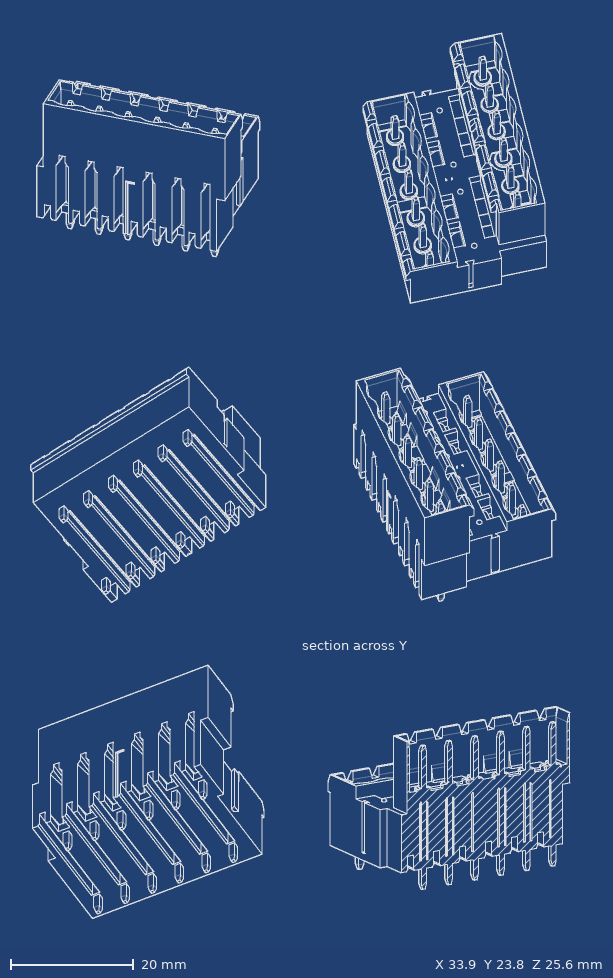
import cadquery as cq

module_count = 2
poles_per_module = 3
module_pitch = 15.02
pole_pitch = module_pitch / poles_per_module
pole_count = module_count * poles_per_module

total_length = 33.9
row_length = 31.43
row_shift = total_length - row_length
row_spacing = 15.25
shelf_z = 9.9
front_top_z = 22.1
rear_top_z = 12.07

housing_depth = 7.85
overhang_z = 10.1
body_front_left = 1.35
body_front_right = 32.5
end_wall = 0.37
cavity_back = 7.32
cavity_depth = 8.65
front_row_wall = 1.35
rear_row_wall = 1.25
end_funnel_depth = 1.5
back_funnel_depth = 1.22
funnel_inset = 0.37
rear_lip_reach = 0.68
front_lip_reach = 0.78
lip_slope = 1.45
lip_root = 0.35
lip_height = 3.05

pin_width = 1.05
pin_offset = 3.9
pin_below_board = 3.5
pin_below_rim = 1.22
pin_tip_width = 0.58
pin_tip_length = 0.9
rear_first_pin = 3.2
front_first_pin = 5.75
rear_row_y = row_spacing + pin_offset

floor_step = 0.35
collar_radius = 1.42
collar_chamfer = 0.17
collar_height = 0.27

rear_pin_xs = [rear_first_pin + i * pole_pitch for i in range(pole_count)]
front_pin_xs = [front_first_pin + i * pole_pitch for i in range(pole_count)]
module_xs = [i * module_pitch for i in range(module_count)]


def block(x0, x1, y0, y1, z0, z1):
    """Box given by its limits along each axis."""
    return cq.Workplane("XY").box(x1 - x0, y1 - y0, z1 - z0, centered=False).translate((x0, y0, z0))


def group(shapes):
    """Gather several solids so that they can be added or cut in one step."""
    return cq.Workplane("XY").newObject([shape.val() for shape in shapes])


def along_x(points, x0, x1):
    """Prism with a (y, z) outline running from x0 to x1."""
    return cq.Workplane("YZ").polyline(points).close().extrude(x1 - x0).translate((x0, 0, 0))


def lip(x0, x1, y_front, top_z, reach):
    """Locking lip along the back edge of a housing, sloped on top."""
    y_wall = y_front + housing_depth
    y_tip = y_wall + reach
    bottom_z = top_z - lip_height
    outline = [
        (y_wall - lip_root, top_z),
        (y_wall, top_z),
        (y_tip, top_z - lip_slope),
        (y_tip, bottom_z),
        (y_wall - lip_root, bottom_z),
    ]
    return along_x(outline, x0, x1)


def rectangle(x0, x1, y0, y1):
    """Corner points of a rectangle."""
    return [(x0, y0), (x1, y0), (x1, y1), (x0, y1)]


def funnel(throat, mouth, top_z, depth):
    """Flared volume from a throat outline up to a mouth outline at top_z."""
    return (
        cq.Workplane("XY", origin=(0, 0, top_z - depth)).polyline(throat).close()
        .workplane(offset=depth).polyline(mouth).close().loft(ruled=True)
    )


def cavity(x_left, y_front, top_z, pin_xs, front_wall, front_inset):
    """Plug chamber with a funnelled mouth and a round relief in the front wall at each pin."""
    x0 = x_left + end_wall
    x1 = x_left + row_length - end_wall / 2
    y0 = y_front + front_wall
    y1 = y_front + cavity_back
    floor_z = top_z - cavity_depth
    relief_floor_z = floor_z - floor_step
    inner_y0 = y0 + front_inset
    inner_x0 = x0 + funnel_inset / 2
    inner_x1 = x1 - funnel_inset
    inner_y1 = y1 - funnel_inset

    chamber = block(inner_x0, inner_x1, inner_y0, inner_y1, floor_z, top_z)
    throat = rectangle(inner_x0, inner_x1, inner_y0, inner_y1)
    end_mouth = rectangle(x0, x1, inner_y0, inner_y1)
    full_mouth = rectangle(x0, x1, y0, y1)
    chamber = chamber.union(funnel(throat, end_mouth, top_z, end_funnel_depth))
    chamber = chamber.union(funnel(throat, full_mouth, top_z, back_funnel_depth))

    relief_overlap = 0.05
    relief_radius = 2.8
    relief_rim_radius = 3.15
    relief_zone = block(x0, x1, y_front, inner_y0 + relief_overlap, relief_floor_z, top_z)
    reliefs = []
    for x in pin_xs:
        centre = (x, y_front + pin_offset)
        relief = cq.Workplane("XY", origin=(*centre, relief_floor_z)).circle(relief_radius)
        relief = relief.extrude(top_z - relief_floor_z)
        flare = (
            cq.Workplane("XY", origin=(*centre, top_z - end_funnel_depth)).circle(relief_radius)
            .workplane(offset=end_funnel_depth).circle(relief_rim_radius).loft()
        )
        reliefs.append(relief.union(flare).intersect(relief_zone))
    return chamber.union(group(reliefs))


def coding_notch(x, y_front, top_z):
    """Tapered gap through the back wall and the lip, in line with a pin."""
    half_floor = 0.6
    half_top = 0.88
    depth = 1.63
    outline = [
        (x - half_floor, top_z - depth),
        (x + half_floor, top_z - depth),
        (x + half_top, top_z),
        (x - half_top, top_z),
    ]
    y0 = y_front + cavity_back - 2 * funnel_inset
    y1 = y_front + housing_depth + front_lip_reach
    return cq.Workplane("XZ").polyline(outline).close().extrude(y0 - y1).translate((0, y0, 0))


def collar(x, y, floor_z):
    """Round chamfered seat around a pin."""
    height = floor_step + collar_height
    ring = cq.Workplane("XY").circle(collar_radius).extrude(height).faces(">Z").chamfer(collar_chamfer)
    return ring.translate((x, y, floor_z - floor_step))


def pin(x, y, top_z):
    """Square pin with a tapered tip at both ends."""
    z0 = -pin_below_board
    z1 = top_z - pin_below_rim
    shank_length = z1 - z0 - 2 * pin_tip_length
    return (
        cq.Workplane("XY", origin=(x, y, z0)).rect(pin_tip_width, pin_tip_width)
        .workplane(offset=pin_tip_length).rect(pin_width, pin_width)
        .workplane(offset=shank_length).rect(pin_width, pin_width)
        .workplane(offset=pin_tip_length).rect(pin_tip_width, pin_tip_width)
        .loft(ruled=True)
    )


def rear_floor_recess(module_x):
    """Shallow tray in the rear chamber floor, one for each module."""
    tray_left = 1.63
    tray_right = 14.78
    y0 = row_spacing + rear_row_wall + funnel_inset
    y1 = row_spacing + cavity_back - funnel_inset
    floor_z = rear_top_z - cavity_depth
    return block(module_x + tray_left, module_x + tray_right, y0, y1, floor_z - floor_step, floor_z)


def front_floor_recess(module_x):
    """Shallow tray in the front chamber floor with round-ended islands between the pins."""
    first_x = module_x + front_first_pin
    last_x = first_x + (poles_per_module - 1) * pole_pitch
    x0 = first_x - collar_radius
    x1 = last_x + collar_radius
    y0 = front_row_wall
    tray_back = 4.3
    key_radius = 2.15
    key_slot_half = 0.5
    y_end = cavity_back - funnel_inset
    tray = block(x0, x1, y0, tray_back, 0, floor_step)
    key = cq.Workplane("XY").center(last_x, pin_offset).circle(key_radius).extrude(floor_step)
    tray = tray.union(key.intersect(block(x0, x1, y0, y_end, 0, floor_step)))
    key_slot = block(last_x - key_slot_half, last_x + key_slot_half, pin_offset, y_end, 0, floor_step)
    tray = tray.union(key_slot)
    island_radius = pole_pitch / 2 - collar_radius
    island_centre_y = 2.47
    for i in range(poles_per_module - 1):
        x = first_x + (i + 0.5) * pole_pitch
        island = block(x - island_radius, x + island_radius, y0, island_centre_y, 0, floor_step)
        cap = cq.Workplane("XY").center(x, island_centre_y).circle(island_radius).extrude(floor_step)
        tray = tray.cut(island.union(cap))
    return tray.translate((0, 0, front_top_z - cavity_depth - floor_step))


rear_block = block(0, row_length, housing_depth, row_spacing + housing_depth, 0, shelf_z)
rear_housing = block(0, row_length, row_spacing, row_spacing + housing_depth, 0, rear_top_z)
front_step = block(body_front_left, body_front_right, 0, housing_depth, 0, shelf_z)
front_neck = block(row_shift, body_front_right, 0, housing_depth, 0, overhang_z)
front_housing = block(row_shift, total_length, 0, housing_depth, overhang_z, front_top_z)
body = rear_block.union(rear_housing).union(front_step).union(front_neck).union(front_housing)

lip_start = 4.17
lip_gap_start = 15.3
lip_gap_end = 15.9
lip_end = 18.25
set_back = 0.15
body = body.union(lip(0, row_length, row_spacing, rear_top_z, rear_lip_reach))
for module_x in module_xs:
    segment_end = total_length if module_x == module_xs[-1] else module_x + lip_end
    wall_start = row_shift if module_x == 0 else module_x - module_pitch + lip_end
    body = body.union(lip(module_x + lip_start, module_x + lip_gap_start, 0, front_top_z, front_lip_reach))
    body = body.union(lip(module_x + lip_gap_end, segment_end, 0, front_top_z, front_lip_reach))
    body = body.cut(
        block(wall_start, module_x + lip_start, housing_depth - set_back, housing_depth, shelf_z, front_top_z)
    )

body = body.cut(cavity(0, row_spacing, rear_top_z, rear_pin_xs, rear_row_wall, funnel_inset))
body = body.cut(cavity(row_shift, 0, front_top_z, front_pin_xs, front_row_wall, 0))
body = body.cut(group([rear_floor_recess(module_x) for module_x in module_xs]))
body = body.cut(group([front_floor_recess(module_x) for module_x in module_xs]))
notches = [coding_notch(x, row_spacing, rear_top_z) for x in rear_pin_xs]
notches += [coding_notch(x, 0, front_top_z) for x in front_pin_xs]
body = body.cut(group(notches))
collars = [collar(x, rear_row_y, rear_top_z - cavity_depth) for x in rear_pin_xs]
collars += [collar(x, pin_offset, front_top_z - cavity_depth) for x in front_pin_xs]
body = body.union(group(collars))


pocket_lefts = [3.6, 8.75]
pocket_width = 4.37
pocket_length = 2.2
pocket_depth = 2.05
channel_lefts = [4.3, 9.3]
channel_width = 2.88
channel_crest_y = 13.22
channel_drop = 1.45
channel_radius = 1.7
trough_channel_depth = 0.17
trough_end_y = 9.73
hump_reach = 0.85
hump_foot = 0.3
hump_shoulder = 0.17
hump_shoulder_height = 2.17
hump_height = 2.7
nub_radius = 0.45
nub_y = 11.7
nub_sink = 0.05


def deck_pocket(left):
    """Rectangular pocket in the deck against the rear housing."""
    right = left + pocket_width
    y0 = row_spacing - pocket_length
    return block(left, right, y0, row_spacing, shelf_z - pocket_depth, shelf_z)


def curved_channel(left):
    """Drop behind a round crest, running down from a deck pocket to the rear housing."""
    z_top = shelf_z - pocket_depth
    z_low = z_top - channel_drop
    return (
        cq.Workplane("YZ").moveTo(channel_crest_y, z_top)
        .radiusArc((channel_crest_y + channel_drop, z_low), channel_radius)
        .lineTo(row_spacing, z_low).lineTo(row_spacing, z_top).close()
        .extrude(channel_width).translate((left, 0, 0))
    )


def deck_trough(module_x):
    """Open trough behind the front housing, a little deeper where the channels end."""
    floor_z = shelf_z - pocket_depth
    x0 = module_x + lip_start
    x1 = module_x + lip_gap_start
    trough = block(x0, x1, housing_depth, trough_end_y, floor_z, shelf_z)
    for channel_left in channel_lefts:
        left = module_x + channel_left
        right = left + channel_width
        groove = block(left, right, housing_depth, trough_end_y, floor_z - trough_channel_depth, floor_z)
        trough = trough.union(groove)
    return trough


def chamber_hump(left):
    """Bulge at the foot of the front chamber's back wall, rounded towards the pins."""
    floor_z = front_top_z - cavity_depth
    wall_y = cavity_back - funnel_inset
    foot_y = wall_y - hump_reach
    knee = (foot_y + hump_foot, floor_z + hump_foot)
    bulge = (wall_y - hump_foot, floor_z + hump_height / 2)
    shoulder = (wall_y - hump_shoulder, floor_z + hump_shoulder_height)
    return (
        cq.Workplane("YZ").moveTo(foot_y, floor_z).lineTo(*knee)
        .threePointArc(bulge, shoulder)
        .lineTo(wall_y, floor_z + hump_height).lineTo(wall_y, floor_z).close()
        .extrude(channel_width).translate((left, 0, 0))
    )


pocket_xs = [module_x + left for module_x in module_xs for left in pocket_lefts]
channel_xs = [module_x + left for module_x in module_xs for left in channel_lefts]
nub_lefts = [rear_first_pin, rear_first_pin + (poles_per_module - 1) * pole_pitch]
nub_xs = [module_x + left for module_x in module_xs for left in nub_lefts]
nubs = [cq.Workplane("XY").sphere(nub_radius).translate((x, nub_y, shelf_z - nub_sink)) for x in nub_xs]
body = body.cut(group([deck_trough(module_x) for module_x in module_xs]))
body = body.cut(group([deck_pocket(x) for x in pocket_xs]))
body = body.cut(group([curved_channel(x) for x in channel_xs]))
body = body.union(group([chamber_hump(x) for x in channel_xs] + nubs))

dovetail_y = 13.0
dovetail_depth = 0.7
dovetail_half_root = 0.35
dovetail_half_tip = 0.7
dovetail_bottom_z = 1.25
middle_joint_x = 15.7
joint_gap_length = 0.35
joint_gap_width = 0.2


def dovetail(x):
    """Dovetail bar that widens away from its root plane at x."""
    outline = [
        (x, dovetail_y - dovetail_half_root),
        (x + dovetail_depth, dovetail_y - dovetail_half_tip),
        (x + dovetail_depth, dovetail_y + dovetail_half_tip),
        (x, dovetail_y + dovetail_half_root),
    ]
    height = shelf_z - dovetail_bottom_z
    return cq.Workplane("XY", origin=(0, 0, dovetail_bottom_z)).polyline(outline).close().extrude(height)


def joint_gap(side):
    """Small wedge left open beside the root of the engaged middle dovetail."""
    root_y = dovetail_y + side * dovetail_half_root
    outline = [
        (middle_joint_x, root_y),
        (middle_joint_x, root_y + side * joint_gap_width),
        (middle_joint_x + joint_gap_length, root_y + side * joint_gap_width),
    ]
    height = shelf_z - dovetail_bottom_z
    return cq.Workplane("XY", origin=(0, 0, dovetail_bottom_z)).polyline(outline).close().extrude(height)


body = body.union(dovetail(row_length)).cut(dovetail(0))
body = body.cut(joint_gap(1)).cut(joint_gap(-1))

slot_half_mouth = 1.05
slot_half_root = 0.75
slot_shoulder_z = 10.7
slot_peak_z = 11.42
slot_top_z = 12.68
slot_foot_z = 1.5
foot_depth = 2.7
rear_slot_top_z = 2.6
rear_slot_half_flare = 0.78
rear_slot_flare_z = 0.4
half_pin = pin_width / 2
slot_depth = pin_offset
rear_slot_end_clearance = 0.35
rear_slot_depth = rear_row_y - half_pin - rear_slot_end_clearance


def front_pin_slot(x, is_last):
    """Tapered slot in front of a tall pin; the last pole of a module has a straight right side."""
    right_mouth = half_pin if is_last else slot_half_mouth
    right_root = half_pin if is_last else slot_half_root
    plan = [
        (x - slot_half_mouth, 0),
        (x + right_mouth, 0),
        (x + right_root, slot_depth),
        (x - slot_half_root, slot_depth),
    ]
    elevation = [
        (x - slot_half_mouth, slot_foot_z),
        (x + right_mouth, slot_foot_z),
        (x + right_mouth, slot_shoulder_z),
        (x + half_pin, slot_peak_z),
        (x - half_pin, slot_peak_z),
        (x - slot_half_mouth, slot_shoulder_z),
    ]
    recess = cq.Workplane("XY").polyline(plan).close().extrude(slot_top_z)
    recess = recess.intersect(cq.Workplane("XZ").polyline(elevation).close().extrude(-slot_depth))
    narrow = block(x - half_pin, x + half_pin, 0, slot_depth, slot_foot_z, slot_top_z)
    foot = block(x - slot_half_mouth, x + right_mouth, 0, foot_depth, 0, slot_foot_z)
    return recess.union(narrow).union(foot)


def rear_pin_slot(x):
    """Channel under the body that runs from the front face to just short of a rear pin."""
    outline = [
        (x - rear_slot_half_flare, 0),
        (x + rear_slot_half_flare, 0),
        (x + half_pin, rear_slot_flare_z),
        (x + half_pin, rear_slot_top_z),
        (x - half_pin, rear_slot_top_z),
        (x - half_pin, rear_slot_flare_z),
    ]
    return cq.Workplane("XZ").polyline(outline).close().extrude(-rear_slot_depth)


last_pole = poles_per_module - 1
slots = [front_pin_slot(x, i % poles_per_module == last_pole) for i, x in enumerate(front_pin_xs)]
body = body.cut(group(slots))
body = body.cut(group([rear_pin_slot(x) for x in rear_pin_xs]))

joint_left = 16.7
joint_width = 0.37
joint_depth = 0.17
joint_ledge_height = 0.25
body = body.cut(block(joint_left, joint_left + joint_width, 0, joint_depth, 0, shelf_z))
body = body.cut(block(joint_left, lip_end, 0, joint_depth, shelf_z, shelf_z + joint_ledge_height))

pins = [pin(x, rear_row_y, rear_top_z) for x in rear_pin_xs]
pins += [pin(x, pin_offset, front_top_z) for x in front_pin_xs]
result = body.union(group(pins)).solids()